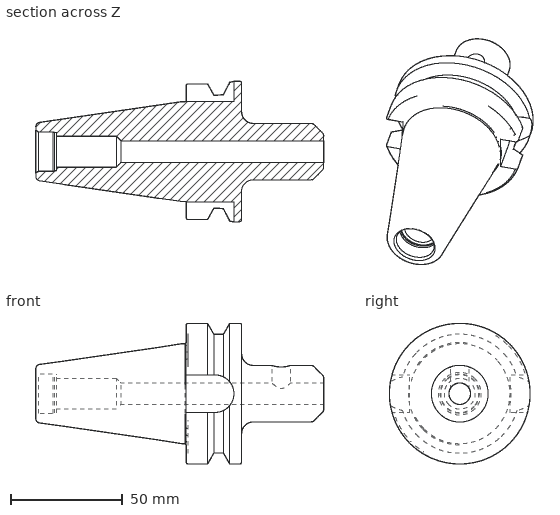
import cadquery as cq
import math

length = 128.9
taper_end_x = 65.4
taper_large_radius = 22.4
taper_slope = 7 / 48
tip_round = 1.7
collar_fillet = 0.5

flange_start_x = 67.3
flange_end_x = 92.2
flange_radius = 63.0 / 2
flange_edge_round = 0.9
groove_center_x = 81.9
groove_floor_width = 4.3
groove_floor_radius = 26.7
groove_flank_angle = 30.0

nose_radius = 25.4 / 2
nose_root_fillet = 5.2
nose_chamfer = 4.9
nose_chamfer_round = 1.9

slot_width = 16.8
slot_floor_y = 22.5
slot_end_x = 88.7

bore_diameter = 9.5
mouth_diameter = 19.1
counterbore_diameter = 17.5
mouth_depth = 1.3
counterbore_depth = 7.7
seat_diameter = 17.0
seat_start = 8.5
seat_depth = 9.3
step_diameter = 13.8
step_depth = 36.1

cross_hole_diameter = 8.4
cross_hole_x = 109.8

arc_middle = 1 - math.sqrt(0.5)


def revolve_about_x(profile):
    return profile.close().revolve(360, (0, 0, 0), (1, 0, 0))


def make_body():
    taper_small_radius = taper_large_radius - taper_end_x * taper_slope
    half_floor = groove_floor_width / 2
    flank_run = (flange_radius - groove_floor_radius) * math.tan(math.radians(groove_flank_angle))
    half_mouth = half_floor + flank_run
    root_x = flange_end_x + nose_root_fillet
    root_radius = nose_radius + nose_root_fillet
    arc_offset = nose_root_fillet * arc_middle
    edge_offset = flange_edge_round * arc_middle
    collar_offset = collar_fillet * arc_middle
    tip_offset = tip_round * arc_middle
    profile = (
        cq.Workplane("XY")
        .lineTo(0, taper_small_radius - tip_round)
        .threePointArc(
            (tip_offset, taper_small_radius - tip_offset),
            (tip_round, taper_small_radius + tip_round * taper_slope),
        )
        .lineTo(taper_end_x, taper_large_radius)
        .lineTo(flange_start_x - collar_fillet, taper_large_radius)
        .threePointArc(
            (flange_start_x - collar_offset, taper_large_radius + collar_offset),
            (flange_start_x, taper_large_radius + collar_fillet),
        )
        .lineTo(flange_start_x, flange_radius - flange_edge_round)
        .threePointArc(
            (flange_start_x + edge_offset, flange_radius - edge_offset),
            (flange_start_x + flange_edge_round, flange_radius),
        )
        .lineTo(groove_center_x - half_mouth, flange_radius)
        .lineTo(groove_center_x - half_floor, groove_floor_radius)
        .lineTo(groove_center_x + half_floor, groove_floor_radius)
        .lineTo(groove_center_x + half_mouth, flange_radius)
        .lineTo(flange_end_x - flange_edge_round, flange_radius)
        .threePointArc(
            (flange_end_x - edge_offset, flange_radius - edge_offset),
            (flange_end_x, flange_radius - flange_edge_round),
        )
        .lineTo(flange_end_x, root_radius)
        .threePointArc((flange_end_x + arc_offset, nose_radius + arc_offset), (root_x, nose_radius))
        .lineTo(length - nose_chamfer, nose_radius)
        .lineTo(length, nose_radius - nose_chamfer)
        .lineTo(length, 0)
    )
    body = revolve_about_x(profile)
    nose_region = cq.selectors.BoxSelector(
        (cross_hole_x, -length, -length), (2 * length, length, length), boundingbox=True
    )
    return body.edges("%CIRCLE").edges(nose_region).fillet(nose_chamfer_round)


def make_bore():
    cone_length = (step_diameter - bore_diameter) / 2
    profile = (
        cq.Workplane("XY")
        .lineTo(0, mouth_diameter / 2)
        .lineTo(mouth_depth, counterbore_diameter / 2)
        .lineTo(counterbore_depth, counterbore_diameter / 2)
        .lineTo(seat_start, seat_diameter / 2)
        .lineTo(seat_depth, seat_diameter / 2)
        .lineTo(seat_depth, step_diameter / 2)
        .lineTo(step_depth, step_diameter / 2)
        .lineTo(step_depth + cone_length, bore_diameter / 2)
        .lineTo(length, bore_diameter / 2)
        .lineTo(length, 0)
    )
    return revolve_about_x(profile)


def make_drive_slot():
    half_width = slot_width / 2
    straight_end_x = slot_end_x - half_width
    return (
        cq.Workplane("XZ", origin=(0, -slot_floor_y, 0))
        .moveTo(flange_start_x, -half_width)
        .lineTo(straight_end_x, -half_width)
        .threePointArc((slot_end_x, 0), (straight_end_x, half_width))
        .lineTo(flange_start_x, half_width)
        .close()
        .extrude(flange_radius - slot_floor_y)
    )


def make_cross_hole():
    return cq.Workplane("XY").center(cross_hole_x, 0).circle(cross_hole_diameter / 2).extrude(nose_radius)


result = make_body().cut(make_bore()).cut(make_cross_hole())
for side_angle in (0, 180):
    result = result.cut(make_drive_slot().rotate((0, 0, 0), (1, 0, 0), side_angle))